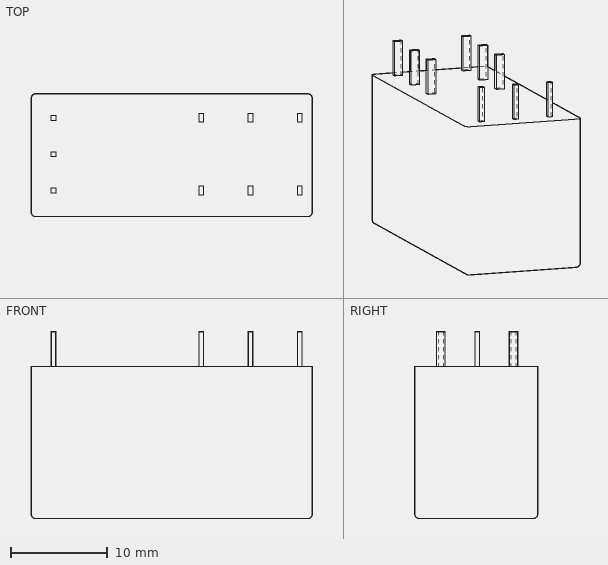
import cadquery as cq

body_length = 29.0
body_width = 12.7
body_height = 15.7
edge_radius = 0.5

pin_height = 3.6
pin_thickness = 0.5
contact_pin_width = 0.9
coil_pin_width = 0.5

contact_column_count = 3
pin_pitch = 5.08
row_spacing = 7.5
coil_to_contact = 15.24
coil_pin_inset = 2.3
pin_field_offset_y = 0.1

coil_x = -body_length / 2 + coil_pin_inset
contact_columns = [coil_x + coil_to_contact + i * pin_pitch for i in range(contact_column_count)]
outer_rows = [pin_field_offset_y + side * row_spacing / 2 for side in (-1, 1)]
coil_rows = outer_rows + [pin_field_offset_y]


def make_housing():
    """Block with rounded upright edges and rounded bottom rim; its top face is at Z = 0."""
    block = cq.Workplane("XY").box(body_length, body_width, body_height, centered=(True, True, False))
    block = block.translate((0, 0, -body_height))
    return block.edges("|Z or <Z").fillet(edge_radius)


def make_pins(points, width):
    """Rectangular pins, `width` along Y, rising from the top face."""
    return cq.Workplane("XY").pushPoints(points).rect(pin_thickness, width).extrude(pin_height)


coil_pins = make_pins([(coil_x, y) for y in coil_rows], coil_pin_width)
contact_pins = make_pins([(x, y) for x in contact_columns for y in outer_rows], contact_pin_width)

result = make_housing().union(coil_pins).union(contact_pins)